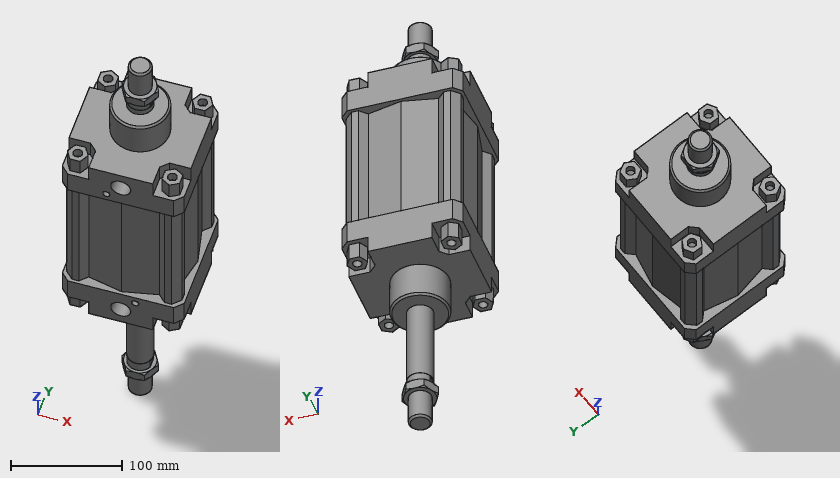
import cadquery as cq
import math

TUBE_LENGTH = 133.0
CAP_HEIGHT = 40.0
BOSS_HEIGHT = 35.2
TOP_ROD_REACH = 56.0
BOTTOM_ROD_REACH = 130.5
CAP_INNER_Z = TUBE_LENGTH / 2
CAP_OUTER_Z = CAP_INNER_Z + CAP_HEIGHT
BOSS_END_Z = CAP_OUTER_Z + BOSS_HEIGHT
ROD_TOP_Z = BOSS_END_Z + TOP_ROD_REACH
ROD_BOTTOM_Z = -BOSS_END_Z - BOTTOM_ROD_REACH

CAP_WIDTH = 115.0
CAP_CORNER_CHAMFER = 7.5
POCKET_SIZE = 27.3
POCKET_DEPTH = 17.0
POCKET_CHAMFER = 7.0
BOSS_DIAMETER = 55.0
BOSS_CHAMFER = 2.0

BOLT_SPACING = 89.5
BOLT_ACROSS_FLATS = 17.0
BOLT_HOLE_DIAMETER = 8.5
BOLT_HOLE_DEPTH = 9.5
DRILL_TIP_ANGLE = 118

PORT_DIAMETER = 19.0
PORT_DEPTH = 18.0
PORT_TO_CAP_END = 18.0
SCREW_HOLE_DIAMETER = 6.5
SCREW_HOLE_DEPTH = 4.5
SCREW_HOLE_OFFSET = 13.5
SCREW_HOLE_TO_TUBE = 8.0

TUBE_HALF_WIDTH = 54.5
TUBE_CORNER_CHAMFER = 7.5
TUBE_RIB_INNER = 40.5
TUBE_RIB_DROP = 7.0

ROD_DIAMETER = 25.0
THREAD_DIAMETER = 21.5
THREAD_LENGTH = 40.0
THREAD_CHAMFER = 2.0
NECK_DIAMETER = 24.5
NECK_LENGTH = 10.0
FLAT_ACROSS = 22.0
FLAT_LENGTH = 9.0

NUT_ACROSS_FLATS = 30.0
NUT_THICKNESS = 10.0
NUT_CHAMFER_ANGLE = 30


def across_corners(across_flats):
    return across_flats / math.cos(math.pi / 6)


def make_tube():
    flank_end = TUBE_RIB_INNER - TUBE_RIB_DROP
    flank_depth = TUBE_HALF_WIDTH - TUBE_RIB_DROP
    side = [
        (TUBE_HALF_WIDTH - TUBE_CORNER_CHAMFER, -TUBE_HALF_WIDTH),
        (TUBE_RIB_INNER, -TUBE_HALF_WIDTH),
        (flank_end, -flank_depth),
        (0, -TUBE_HALF_WIDTH),
        (-flank_end, -flank_depth),
        (-TUBE_RIB_INNER, -TUBE_HALF_WIDTH),
        (-TUBE_HALF_WIDTH + TUBE_CORNER_CHAMFER, -TUBE_HALF_WIDTH),
    ]
    outline = []
    for _ in range(4):
        outline += side
        side = [(y, -x) for x, y in side]
    return cq.Workplane("XY").polyline(outline).close().extrude(CAP_INNER_Z, both=True)


def make_corner_pocket(x_sign, y_sign):
    pocket_floor = CAP_OUTER_Z - POCKET_DEPTH
    middle = (CAP_WIDTH - POCKET_SIZE) / 2
    inner_edge = ("<X" if x_sign > 0 else ">X") + " and " + ("<Y" if y_sign > 0 else ">Y")
    return (
        cq.Workplane("XY", origin=(x_sign * middle, y_sign * middle, pocket_floor))
        .rect(POCKET_SIZE, POCKET_SIZE)
        .extrude(POCKET_DEPTH)
        .edges("|Z")
        .edges(inner_edge)
        .chamfer(POCKET_CHAMFER)
    )


def make_bolt_head(x_sign, y_sign):
    x, y = x_sign * BOLT_SPACING / 2, y_sign * BOLT_SPACING / 2
    turn = 0 if x_sign == y_sign else 90
    return (
        cq.Workplane("XY", origin=(x, y, CAP_OUTER_Z - POCKET_DEPTH))
        .transformed(rotate=(0, 0, turn))
        .polygon(6, across_corners(BOLT_ACROSS_FLATS))
        .extrude(POCKET_DEPTH)
    )


def make_bolt_hole(x_sign, y_sign):
    x, y = x_sign * BOLT_SPACING / 2, y_sign * BOLT_SPACING / 2
    radius = BOLT_HOLE_DIAMETER / 2
    tip_depth = radius / math.tan(math.radians(DRILL_TIP_ANGLE / 2))
    profile = [(0, 0), (radius, 0), (radius, -BOLT_HOLE_DEPTH), (0, -BOLT_HOLE_DEPTH - tip_depth)]
    return (
        cq.Workplane("XZ", origin=(x, y, CAP_OUTER_Z))
        .polyline(profile)
        .close()
        .revolve(360, (0, 0), (0, 1))
    )


def make_side_hole(x, z, diameter, depth):
    return cq.Workplane("XZ", origin=(x, -CAP_WIDTH / 2, z)).circle(diameter / 2).extrude(-depth)


def make_upper_cap():
    cap = (
        cq.Workplane("XY", origin=(0, 0, CAP_INNER_Z))
        .rect(CAP_WIDTH, CAP_WIDTH)
        .extrude(CAP_HEIGHT)
        .edges("|Z")
        .chamfer(CAP_CORNER_CHAMFER)
    )
    boss = (
        cq.Workplane("XY", origin=(0, 0, CAP_OUTER_Z))
        .circle(BOSS_DIAMETER / 2)
        .extrude(BOSS_HEIGHT)
        .faces(">Z")
        .chamfer(BOSS_CHAMFER)
    )
    cap = cap.union(boss)
    for x_sign in (-1, 1):
        for y_sign in (-1, 1):
            cap = cap.cut(make_corner_pocket(x_sign, y_sign))
            cap = cap.union(make_bolt_head(x_sign, y_sign))
            cap = cap.cut(make_bolt_hole(x_sign, y_sign))
    port = make_side_hole(0, CAP_OUTER_Z - PORT_TO_CAP_END, PORT_DIAMETER, PORT_DEPTH)
    return cap.cut(port)


def make_housing():
    upper_cap = make_upper_cap()
    lower_cap = upper_cap.mirror("XY")
    body = make_tube().union(upper_cap).union(lower_cap)
    screw_z = CAP_INNER_Z + SCREW_HOLE_TO_TUBE
    for x, z in ((-SCREW_HOLE_OFFSET, screw_z), (SCREW_HOLE_OFFSET, -screw_z)):
        body = body.cut(make_side_hole(x, z, SCREW_HOLE_DIAMETER, SCREW_HOLE_DEPTH))
    rod_bore = cq.Workplane("XY").circle(ROD_DIAMETER / 2).extrude(BOSS_END_Z, both=True)
    return body.cut(rod_bore)


def make_rod_section(diameter, bottom_z, top_z):
    return cq.Workplane("XY", origin=(0, 0, bottom_z)).circle(diameter / 2).extrude(top_z - bottom_z)


def make_rod():
    neck_top = ROD_TOP_Z - THREAD_LENGTH
    neck_bottom = ROD_BOTTOM_Z + THREAD_LENGTH
    threads = make_rod_section(THREAD_DIAMETER, ROD_BOTTOM_Z, ROD_TOP_Z)
    threads = threads.faces("<Z or >Z").chamfer(THREAD_CHAMFER)
    necks = make_rod_section(NECK_DIAMETER, neck_bottom, neck_top)
    shank = make_rod_section(ROD_DIAMETER, neck_bottom + NECK_LENGTH, neck_top - NECK_LENGTH)
    rod = threads.union(necks).union(shank)
    flat_cutter = cq.Workplane("XY").box(ROD_DIAMETER, ROD_DIAMETER, FLAT_LENGTH)
    flat_x = (FLAT_ACROSS + ROD_DIAMETER) / 2
    for flat_z in (neck_top - FLAT_LENGTH / 2, neck_bottom + FLAT_LENGTH / 2):
        for x in (-flat_x, flat_x):
            rod = rod.cut(flat_cutter.translate((x, 0, flat_z)))
    return rod


def make_nut(bottom_z):
    corner_radius = across_corners(NUT_ACROSS_FLATS) / 2
    face_radius = NUT_ACROSS_FLATS / 2
    drop = (corner_radius - face_radius) * math.tan(math.radians(NUT_CHAMFER_ANGLE))
    turned_profile = [
        (0, 0),
        (face_radius, 0),
        (corner_radius, drop),
        (corner_radius, NUT_THICKNESS - drop),
        (face_radius, NUT_THICKNESS),
        (0, NUT_THICKNESS),
    ]
    turned_blank = cq.Workplane("XZ").polyline(turned_profile).close().revolve(360, (0, 0), (0, 1))
    hexagon = cq.Workplane("XY").polygon(6, 2 * corner_radius).extrude(NUT_THICKNESS)
    bore = cq.Workplane("XY").circle(THREAD_DIAMETER / 2).extrude(NUT_THICKNESS)
    return hexagon.intersect(turned_blank).cut(bore).translate((0, 0, bottom_z))


housing = make_housing()
rod = make_rod()
nut_positions = (ROD_TOP_Z - THREAD_LENGTH, ROD_BOTTOM_Z + THREAD_LENGTH - NUT_THICKNESS)
nuts = [make_nut(bottom_z) for bottom_z in nut_positions]

result = cq.Compound.makeCompound([housing.val(), rod.val(), *[nut.val() for nut in nuts]])